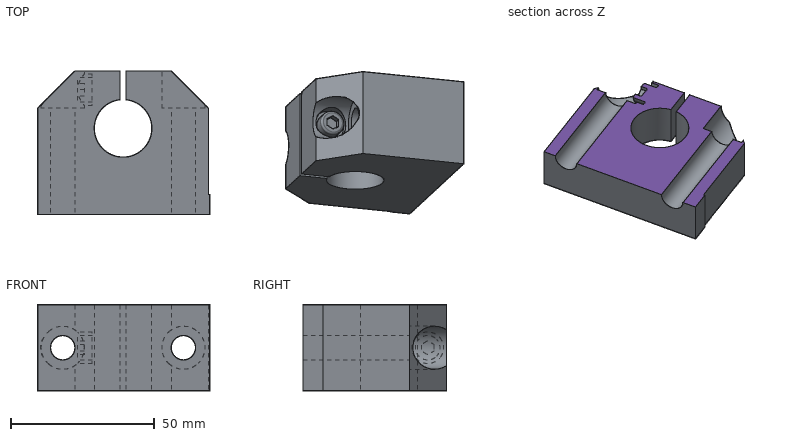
import cadquery as cq
import math

overall_width = 60.0
block_depth = 50.0
block_height = 30.0
foot_projection = 0.5
foot_depth = 7.0
corner_chamfer = 12.95
body_width = overall_width - foot_projection
centre_x = body_width / 2
mid_height = block_height / 2

bore_diameter = 20.0
bore_centre_y = 30.0
slot_width = 2.0

mount_spacing = 42.0
mount_hole_diameter = 8.4
mount_counterbore_diameter = 15.0
mount_counterbore_depth = corner_chamfer

screw_y = block_depth - 6.55
seat_diameter = 11.0
seat_x = 18.9
head_diameter = 8.5
head_height = 5.0
head_fillet = 0.8
socket_across_flats = 4.2
socket_depth = 2.4


def make_block():
    outline = [
        (0, 0),
        (overall_width, 0),
        (overall_width, foot_depth),
        (body_width, foot_depth),
        (body_width, block_depth - corner_chamfer),
        (body_width - corner_chamfer, block_depth),
        (corner_chamfer, block_depth),
        (0, block_depth - corner_chamfer),
    ]
    return cq.Workplane("XY").polyline(outline).close().extrude(block_height)


def make_bore_and_slot():
    bore = cq.Workplane("XY").center(centre_x, bore_centre_y).circle(bore_diameter / 2).extrude(block_height)
    slot_length = block_depth - bore_centre_y
    slot = cq.Workplane("XY").box(slot_width, slot_length, block_height, centered=(True, False, False))
    return bore.union(slot.translate((centre_x, bore_centre_y, 0)))


def make_mount_hole(x):
    back = cq.Workplane("XZ", origin=(x, block_depth, mid_height))
    hole = back.circle(mount_hole_diameter / 2).extrude(block_depth)
    counterbore = back.circle(mount_counterbore_diameter / 2).extrude(mount_counterbore_depth)
    return hole.union(counterbore)


def make_screw_pocket():
    left_side = cq.Workplane("YZ", origin=(0, screw_y, mid_height))
    return left_side.circle(seat_diameter / 2).extrude(seat_x)


def make_screw_head():
    seat = cq.Workplane("YZ", origin=(seat_x, screw_y, mid_height))
    head = seat.circle(head_diameter / 2).extrude(-head_height)
    head = head.faces("<X").edges().fillet(head_fillet)
    face = cq.Plane(origin=(seat_x - head_height, screw_y, mid_height), xDir=(0, 0, 1), normal=(1, 0, 0))
    corner_diameter = socket_across_flats / math.cos(math.pi / 6)
    socket = cq.Workplane(face).polygon(6, corner_diameter)
    return head.cut(socket.extrude(socket_depth))


result = make_block().cut(make_bore_and_slot())
for side in (-1, 1):
    result = result.cut(make_mount_hole(centre_x + side * mount_spacing / 2))
result = result.cut(make_screw_pocket()).union(make_screw_head())